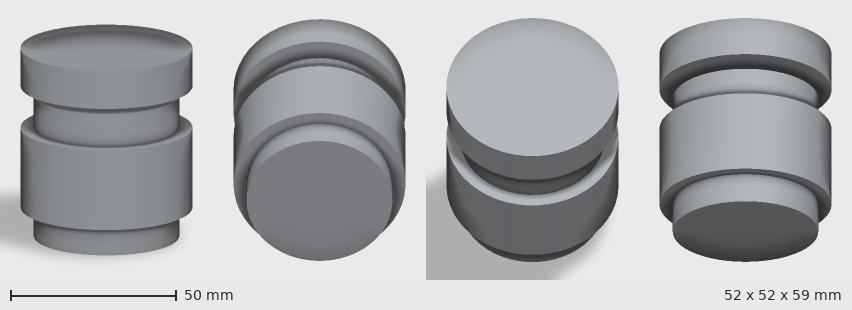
import cadquery as cq

outer_diameter = 52.0
neck_diameter = 44.0

foot_height = 9.0
collar_height = 25.0
neck_height = 10.0
cap_gap = 3.0
cap_height = 12.0

collar_bottom = foot_height
neck_bottom = collar_bottom + collar_height
neck_top = neck_bottom + neck_height
cap_bottom = neck_top + cap_gap


def disc(diameter, bottom, height):
    """Upright cylinder on the Z axis, starting at the given level."""
    return cq.Workplane("XY").workplane(offset=bottom).circle(diameter / 2).extrude(height)


def make_container():
    """Stepped round body: narrow foot, wide collar and narrow neck."""
    foot = disc(neck_diameter, 0, foot_height)
    collar = disc(outer_diameter, collar_bottom, collar_height)
    neck = disc(neck_diameter, neck_bottom, neck_height)
    return foot.union(collar).union(neck)


def make_cap():
    """Round cap held clear above the neck."""
    return disc(outer_diameter, cap_bottom, cap_height)


container = make_container()
cap = make_cap()

result = cq.Compound.makeCompound([container.val(), cap.val()])